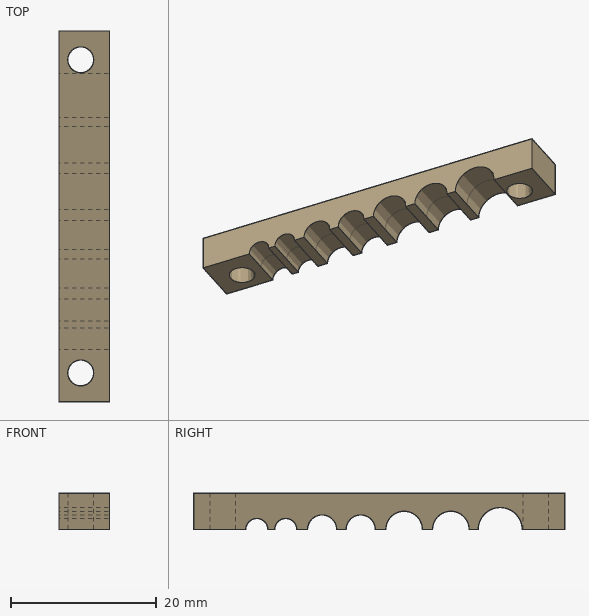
import cadquery as cq

length = 51.0
width = 7.0
height = 5.0

hole_diameter = 3.5
hole_end_distance = 4.0
hole_side_distance = 3.0

grooves = [
    (8.85, 6.0),
    (15.65, 5.0),
    (22.1, 5.0),
    (28.05, 4.0),
    (33.35, 4.0),
    (38.35, 3.0),
    (42.35, 3.0),
]


def make_bar():
    """Plain bar centred on X and Y, with its underside at Z = 0."""
    return cq.Workplane("XY").box(width, length, height, centered=(True, True, False))


def make_groove(end_distance, diameter):
    """Cylinder along X whose axis lies in the underside of the bar."""
    return (
        cq.Workplane("YZ")
        .center(length / 2 - end_distance, 0)
        .circle(diameter / 2)
        .extrude(width / 2, both=True)
    )


def make_mounting_holes():
    """Two vertical through-hole cylinders."""
    hole_x = hole_side_distance - width / 2
    hole_y = length / 2 - hole_end_distance
    return (
        cq.Workplane("XY")
        .pushPoints([(hole_x, -hole_y), (hole_x, hole_y)])
        .circle(hole_diameter / 2)
        .extrude(height)
    )


result = make_bar().cut(make_mounting_holes())
for groove_distance, groove_diameter in grooves:
    result = result.cut(make_groove(groove_distance, groove_diameter))